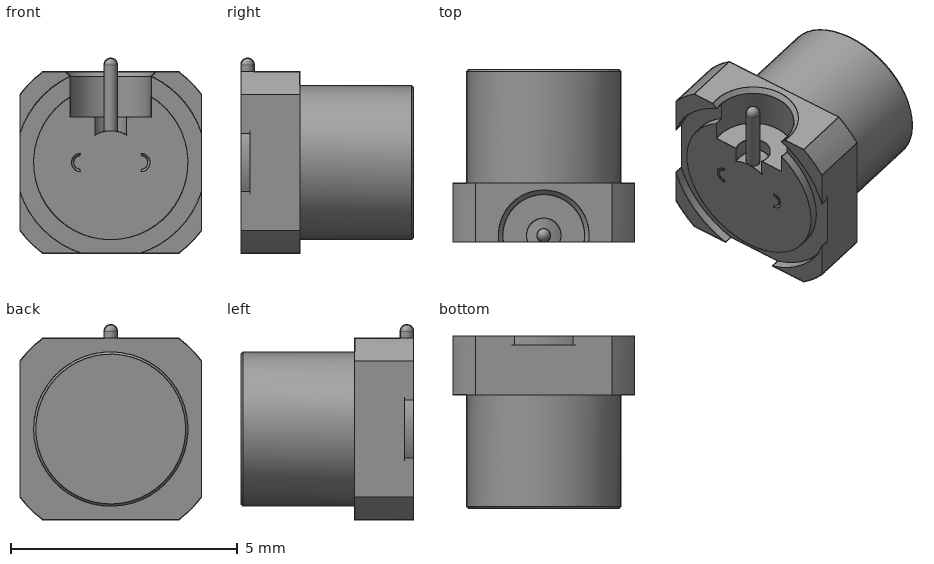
import cadquery as cq

flange_width = 4.0
flange_corner_radius = 2.5
flange_thickness = 1.3

barrel_radius = 1.7
overall_depth = 3.81
barrel_chamfer = 0.05

groove_inner_radius = barrel_radius
groove_outer_radius = 2.1
groove_depth = 0.2

core_radius = 0.7
lug_offset = 0.665
lug_radius = 0.15
lug_groove_width = 0.05
lug_groove_depth = lug_groove_width

pin_radius = 0.15
pin_axis_y = pin_radius
pin_top_z = 2.3

flange_top_z = flange_width / 2
pocket_radius = 0.9
pocket_floor_z = 1.0
pocket_chamfer = 0.1
bore_radius = 0.38


def cylinder_along_y(radius, y_start, length):
    """Cylinder on the Y axis, growing toward +Y."""
    plane = cq.Plane(origin=(0, y_start, 0), xDir=(1, 0, 0), normal=(0, 1, 0))
    return cq.Workplane(plane).circle(radius).extrude(length)


def cylinder_along_z(radius, z_start, z_end):
    """Vertical cylinder on the pin axis."""
    base = cq.Workplane("XY", origin=(0, pin_axis_y, z_start))
    return base.circle(radius).extrude(z_end - z_start)


def make_flange():
    square = cq.Workplane("XY").box(flange_width, flange_thickness, flange_width)
    square = square.translate((0, flange_thickness / 2, 0))
    return square.intersect(cylinder_along_y(flange_corner_radius, 0, flange_thickness))


def make_barrel():
    barrel = cylinder_along_y(barrel_radius, flange_thickness, overall_depth - flange_thickness)
    return barrel.faces(">Y").chamfer(barrel_chamfer)


def make_ring_groove():
    outer = cylinder_along_y(groove_outer_radius, 0, groove_depth)
    return outer.cut(cylinder_along_y(groove_inner_radius, 0, groove_depth))


def make_pin_pocket():
    """Chamfered pocket plus the bore that reaches down to the core."""
    pocket = cylinder_along_z(pocket_radius, pocket_floor_z, flange_top_z)
    chamfer_cone = cq.Solid.makeCone(
        pocket_radius,
        pocket_radius + pocket_chamfer,
        pocket_chamfer,
        pnt=cq.Vector(0, pin_axis_y, flange_top_z - pocket_chamfer),
        dir=cq.Vector(0, 0, 1),
    )
    bore = cylinder_along_z(bore_radius, 0, pocket_floor_z)
    return pocket.union(cq.Workplane(chamfer_cone)).union(bore)


def make_lug_groove(side):
    """Tapered ring around a lug of the core; side is -1 or +1 along X."""
    taper = cq.Solid.makeCone(
        lug_radius + lug_groove_width,
        lug_radius,
        lug_groove_depth,
        pnt=cq.Vector(side * lug_offset, 0, 0),
        dir=cq.Vector(0, 1, 0),
    )
    lug = cylinder_along_y(lug_radius, 0, lug_groove_depth).translate((side * lug_offset, 0, 0))
    return cq.Workplane(taper).cut(lug)


def make_pin():
    shank = cylinder_along_z(pin_radius, 0, pin_top_z - pin_radius)
    tip = cq.Workplane("XY").sphere(pin_radius)
    return shank.union(tip.translate((0, pin_axis_y, pin_top_z - pin_radius)))


body = make_flange().union(make_barrel())
body = body.cut(make_ring_groove()).cut(make_pin_pocket())
for side in (-1, 1):
    body = body.cut(make_lug_groove(side))

core = cylinder_along_y(core_radius, 0, flange_thickness)
result = body.union(core).union(make_pin())